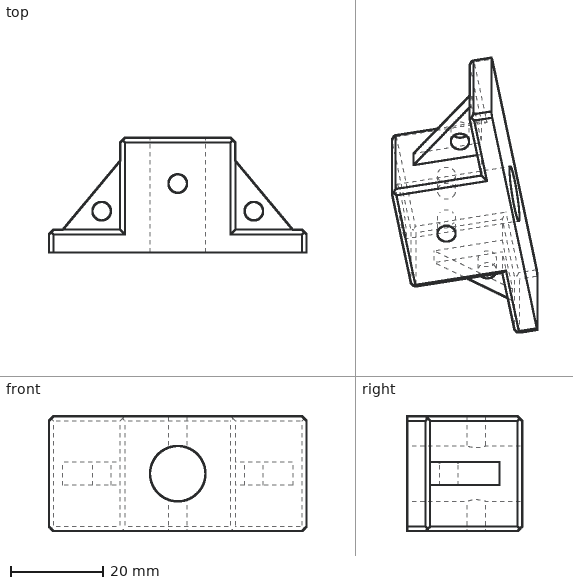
import cadquery as cq

plate_width = 56.0
block_size = 25.0
plate_depth = 5.0
chamfer = 1.0

bore_diameter = 12.0
pin_hole_diameter = 4.0
block_hole_y = 15.0
rib_hole_x = 16.5
rib_hole_y = 9.0

rib_thickness = 5.0
rib_foot_x = 25.0
rib_top_y = 20.0

half_plate = plate_width / 2
half_block = block_size / 2
tolerance = 0.005


def is_upright_corner(edge):
    """True for the outer vertical edges at the back of the plate and block."""
    center = edge.Center()
    at_mid_height = abs(center.z) < tolerance
    at_plate_end = abs(center.x) > half_plate - tolerance
    at_block_back = center.y > block_size - tolerance
    on_front = center.y < tolerance
    return at_mid_height and not on_front and (at_plate_end or at_block_back)


def is_rim_edge(edge):
    """True for top and bottom edges that do not lie in the front face."""
    center = edge.Center()
    return abs(center.z) > tolerance and center.y > tolerance


def make_body():
    """T-shaped plate and block, chamfered on all outer edges off the front face."""
    outline = [
        (-half_plate, 0),
        (half_plate, 0),
        (half_plate, plate_depth),
        (half_block, plate_depth),
        (half_block, block_size),
        (-half_block, block_size),
        (-half_block, plate_depth),
        (-half_plate, plate_depth),
    ]
    body = cq.Workplane("XY").polyline(outline).close().extrude(half_block, both=True)
    upright_chamfered = body.edges().filter(is_upright_corner).chamfer(chamfer)
    rim_chamfered = body.edges().filter(is_rim_edge).chamfer(chamfer)
    return upright_chamfered.intersect(rim_chamfered)


def make_ribs():
    """Triangular ribs on both sides, drawn as one outline that runs through the block."""
    mid_plate = plate_depth / 2
    outline = [
        (-rib_foot_x, mid_plate),
        (rib_foot_x, mid_plate),
        (rib_foot_x, plate_depth),
        (half_block, rib_top_y),
        (-half_block, rib_top_y),
        (-rib_foot_x, plate_depth),
    ]
    return cq.Workplane("XY").polyline(outline).close().extrude(rib_thickness / 2, both=True)


def make_holes():
    """Bore along Y and three pin holes along Z, all passing through."""
    bore = cq.Workplane("XZ").circle(bore_diameter / 2).extrude(-block_size)
    pin_centers = [(0, block_hole_y), (rib_hole_x, rib_hole_y), (-rib_hole_x, rib_hole_y)]
    pins = (
        cq.Workplane("XY")
        .pushPoints(pin_centers)
        .circle(pin_hole_diameter / 2)
        .extrude(half_block, both=True)
    )
    return bore.union(pins)


result = make_body().union(make_ribs()).cut(make_holes())